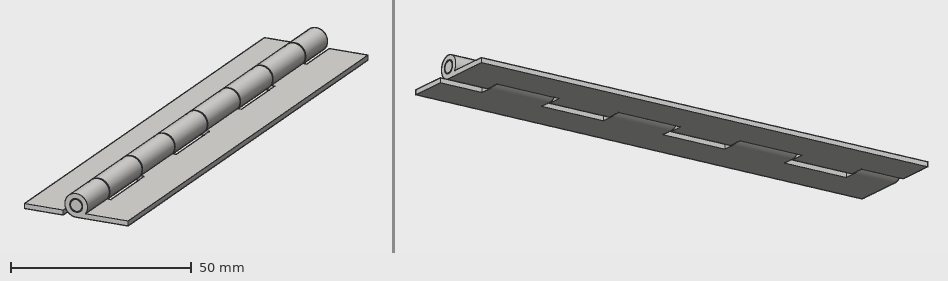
import cadquery as cq

hinge_length = 150.0
hinge_width = 32.0
leaf_thickness = 1.5

knuckle_radius = 3.5
knuckle_count = 8
knuckle_length = 20.0
knuckle_gap = 0.4
knuckle_pitch = knuckle_length + knuckle_gap

bore_radius = knuckle_radius - leaf_thickness
pin_radius = 1.75

notch_half_width = 4.0

y_min = -hinge_length / 2
y_max = hinge_length / 2


def knuckle_span(index):
    """Y limits of one knuckle, counted from -Y; the two end knuckles are cut short at the hinge ends."""
    y_center = (index - (knuckle_count - 1) / 2) * knuckle_pitch
    y_start = max(y_center - knuckle_length / 2, y_min)
    y_end = min(y_center + knuckle_length / 2, y_max)
    return y_start, y_end


def cylinder_along_y(radius, y_start, y_end):
    """Cylinder on the pin axis between two Y positions."""
    return (
        cq.Workplane("XZ", origin=(0, y_start, knuckle_radius))
        .circle(radius)
        .extrude(y_start - y_end)
    )


def plate(x_start, x_end, y_start, y_end):
    """Flat piece of leaf standing on Z = 0."""
    size = (x_end - x_start, y_end - y_start, leaf_thickness)
    return cq.Workplane("XY", origin=(x_start, y_start, 0)).box(*size, centered=False)


def make_leaf(first_knuckle):
    """Leaf on the +X side that carries every second knuckle."""
    leaf = plate(notch_half_width, hinge_width / 2, y_min, y_max)
    for index in range(first_knuckle, knuckle_count, 2):
        y_start, y_end = knuckle_span(index)
        leaf = leaf.union(plate(0, notch_half_width, y_start, y_end))
        leaf = leaf.union(cylinder_along_y(knuckle_radius, y_start, y_end))
    return leaf.cut(cylinder_along_y(bore_radius, y_min, y_max))


right_leaf = make_leaf(first_knuckle=0)
left_leaf = make_leaf(first_knuckle=1).mirror("YZ")
pin = cylinder_along_y(pin_radius, y_min, y_max)

result = cq.Compound.makeCompound([right_leaf.val(), left_leaf.val(), pin.val()])